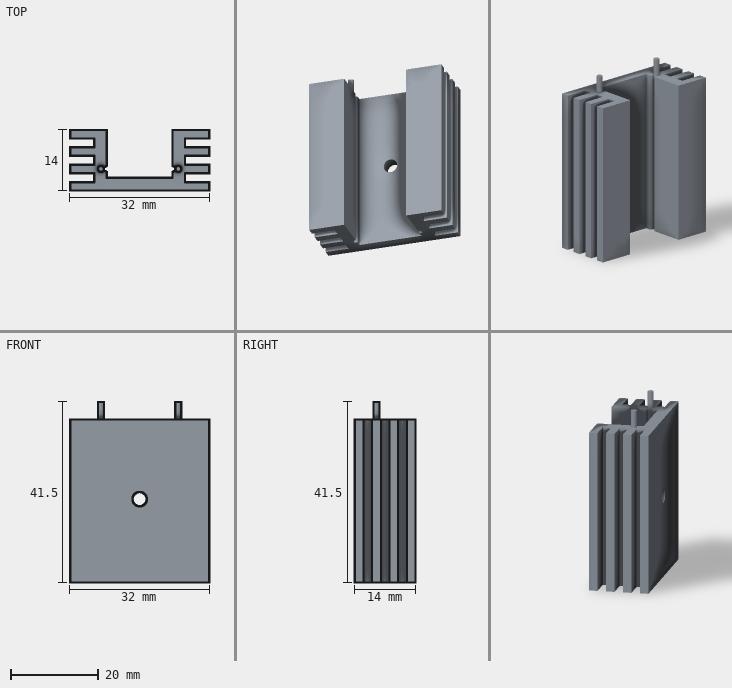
import cadquery as cq

width = 32.0
depth = 14.0
total_height = 41.5
pin_height = 4.0
body_height = total_height - pin_height

fin_count = 4
fin_thickness = depth / (2 * fin_count - 1)
floor_thickness = 3.0
channel_half_width = 7.5
fin_root_x = 10.45

pin_diameter = 1.4
pin_x = 8.9
pin_y = 5.02
mouth_width = 1.5
throat_width = 0.9
throat_x = 7.95

hole_diameter = 3.25
hole_z = 19.17


def make_body():
    """U-shaped extrusion with horizontal slots leaving fins on both sides."""
    body = cq.Workplane("XY").box(width, depth, body_height, centered=(True, False, False))
    channel = (
        cq.Workplane("XY")
        .box(2 * channel_half_width, depth, body_height, centered=(True, False, False))
        .translate((0, floor_thickness, 0))
    )
    body = body.cut(channel)
    slot_depth = width / 2 - fin_root_x
    slot_center_x = fin_root_x + slot_depth / 2
    for side in (-1, 1):
        for index in range(fin_count - 1):
            slot_y = (2 * index + 1) * fin_thickness
            slot = (
                cq.Workplane("XY")
                .box(slot_depth, fin_thickness, body_height, centered=(True, False, False))
                .translate((side * slot_center_x, slot_y, 0))
            )
            body = body.cut(slot)
    return body


def make_groove(side):
    """Groove from the channel wall to the pin, flaring out at its mouth."""
    return (
        cq.Workplane("XY")
        .polyline([
            (side * channel_half_width, pin_y - mouth_width / 2),
            (side * throat_x, pin_y - throat_width / 2),
            (side * pin_x, pin_y - throat_width / 2),
            (side * pin_x, pin_y + throat_width / 2),
            (side * throat_x, pin_y + throat_width / 2),
            (side * channel_half_width, pin_y + mouth_width / 2),
        ])
        .close()
        .extrude(body_height)
    )


def make_pin(side):
    """Round pin running the full height of the part."""
    return cq.Workplane("XY").center(side * pin_x, pin_y).circle(pin_diameter / 2).extrude(total_height)


def make_mounting_hole():
    """Cylinder along Y that pierces the floor."""
    return cq.Workplane("XZ").center(0, hole_z).circle(hole_diameter / 2).extrude(-floor_thickness)


result = make_body().cut(make_mounting_hole())
for side in (-1, 1):
    result = result.cut(make_groove(side)).union(make_pin(side))